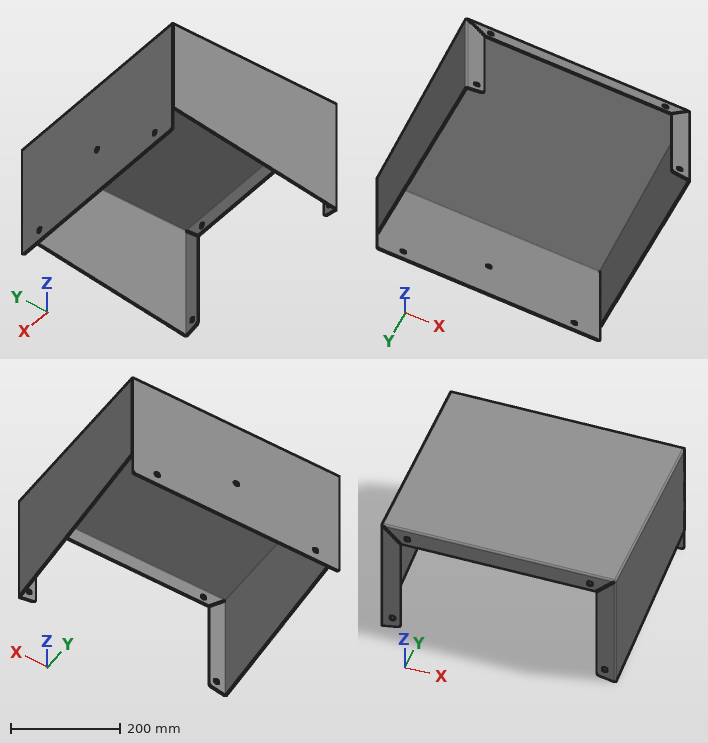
import cadquery as cq

width = 457.0
depth = 381.0
height = 254.0
sheet = 3.0
bend_radius = 3.5
inner_bend_radius = bend_radius - sheet

flange_width = 38.0
miter_gap = 2.5
flange_end_rise = 7.0
flange_corner_radius = 7.5

side_rise = 50.7

seam_gap = 0.5
back_inset = 1.5
back_corner_radius = 6.0
seam_back = depth - sheet
seam_front = seam_back - seam_gap

hole_diameter = 11.0
top_hole_inset = 50.7
top_hole_drop = 22.0
lower_hole_height = 25.0
flange_hole_inset = 22.0
back_hole_inset = 54.5
center_hole_height = 101.5

overcut = 4.5


def box(x0, x1, y0, y1, z0, z1):
    return cq.Workplane("XY").box(x1 - x0, y1 - y0, z1 - z0, centered=False).translate((x0, y0, z0))


def front_prism(outline, y_end):
    """Extrude a closed XZ outline from just ahead of the front to y_end."""
    return outline.extrude(-(y_end + overcut))


def front_plane():
    return cq.Workplane("XZ", origin=(0, -overcut, 0))


def make_shell():
    """Sheet-metal box with rounded bends, open underneath."""
    outer = box(0, width, 0, depth, 0, height)
    outer = outer.edges("(|Z and <Y) or >Z").fillet(bend_radius)
    inner = box(sheet, width - sheet, sheet, depth - sheet, -overcut, height - sheet)
    inner = inner.edges("(|Z and <Y) or >Z").fillet(inner_bend_radius)
    return outer.cut(inner)


def front_opening():
    """Opening between the flanges, widening below their sloped, rounded ends."""
    right = width - flange_width
    outline = (
        front_plane()
        .moveTo(bend_radius, -overcut)
        .lineTo(bend_radius, 0)
        .lineTo(flange_width, flange_end_rise)
        .lineTo(flange_width, height - flange_width)
        .lineTo(right, height - flange_width)
        .lineTo(right, flange_end_rise)
        .lineTo(width - bend_radius, 0)
        .lineTo(width - bend_radius, -overcut)
        .close()
    )
    opening = front_prism(outline, sheet + inner_bend_radius)
    for x in (flange_width, right):
        corner = cq.selectors.NearestToPointSelector((x, 0, flange_end_rise))
        opening = opening.edges("|Y").edges(corner).fillet(flange_corner_radius)
    return opening


def miter_cut():
    """Diagonal gap between the left and top flanges."""
    axis_offset = miter_gap / 2**0.5
    start = bend_radius
    end = flange_width + overcut
    outline = (
        front_plane()
        .moveTo(start, height - start - axis_offset)
        .lineTo(start + axis_offset, height - start)
        .lineTo(end + axis_offset, height - end)
        .lineTo(end, height - end - axis_offset)
        .close()
    )
    return front_prism(outline, sheet + inner_bend_radius)


def side_slope():
    """Wedge below the side walls, leaving the back panel at full height."""
    return (
        cq.Workplane("YZ", origin=(-overcut, 0, 0))
        .moveTo(bend_radius, 0)
        .lineTo(seam_front, side_rise)
        .lineTo(seam_front, -overcut)
        .lineTo(bend_radius, -overcut)
        .close()
        .extrude(width + 2 * overcut)
    )


def back_seams():
    """Narrow slits separating the back panel from both side walls below the top bend."""
    top = height - bend_radius
    left = box(-overcut, bend_radius, seam_front, seam_back, -overcut, top)
    right = left.mirror("YZ", (width / 2, 0, 0))
    return left.union(right)


def back_trim():
    """Strips that make the back panel slightly narrower than the hood."""
    left = box(-overcut, back_inset, seam_back, depth + overcut, -overcut, height + overcut)
    right = left.mirror("YZ", (width / 2, 0, 0))
    return left.union(right)


def holes(points, y_start, y_end):
    return (
        cq.Workplane("XZ", origin=(0, y_start, 0))
        .pushPoints(points)
        .circle(hole_diameter / 2)
        .extrude(y_start - y_end)
    )


def mirrored_pair(inset, z):
    return [(inset, z), (width - inset, z)]


flange_holes = mirrored_pair(top_hole_inset, height - top_hole_drop)
flange_holes += mirrored_pair(flange_hole_inset, lower_hole_height)
back_holes = mirrored_pair(back_hole_inset, lower_hole_height)
back_holes.append((width / 2, center_hole_height))

left_miter = miter_cut()
right_miter = left_miter.mirror("YZ", (width / 2, 0, 0))

result = (
    make_shell()
    .cut(front_opening())
    .cut(left_miter)
    .cut(right_miter)
    .cut(side_slope())
    .cut(back_seams())
    .cut(back_trim())
    .cut(holes(flange_holes, -overcut, sheet + overcut))
    .cut(holes(back_holes, depth - sheet - overcut, depth + overcut))
)

for corner_x in (back_inset, width - back_inset):
    back_corner = cq.selectors.NearestToPointSelector((corner_x, depth - sheet / 2, 0))
    result = result.edges("|Y").edges(back_corner).fillet(back_corner_radius)